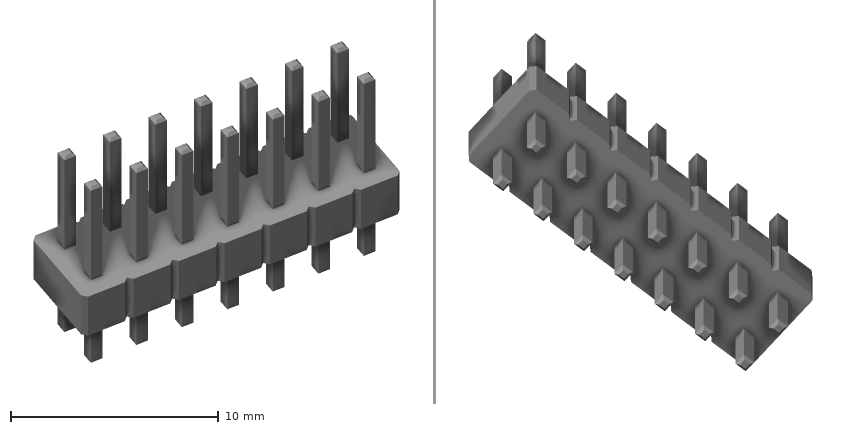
import cadquery as cq

rows = 7
columns = 2
housing_length = 17.78
pitch = housing_length / rows
housing_width = columns * pitch
housing_height = pitch
corner_chamfer = 0.25
pin_width = 0.64
pin_tip_chamfer = 0.15
pin_above = 6.0
pin_below = 3.0

row_positions = [(row - (rows - 1) / 2) * pitch for row in range(rows)]
column_positions = [(column - (columns - 1) / 2) * pitch for column in range(columns)]


def housing_segment(y):
    """One row of the housing: a block with its four vertical corners chamfered."""
    return (
        cq.Workplane("XY")
        .center(0, y)
        .rect(housing_width, pitch)
        .extrude(housing_height)
        .edges("|Z")
        .chamfer(corner_chamfer)
    )


def pin(x, y):
    """A square pin through the housing, bevelled at both ends."""
    return (
        cq.Workplane("XY", origin=(x, y, -pin_below))
        .rect(pin_width, pin_width)
        .extrude(pin_below + housing_height + pin_above)
        .faces("<Z or >Z")
        .chamfer(pin_tip_chamfer)
    )


housing = housing_segment(row_positions[0])
for y in row_positions[1:]:
    housing = housing.union(housing_segment(y))

result = housing
for x in column_positions:
    for y in row_positions:
        result = result.union(pin(x, y))
result = result.clean()